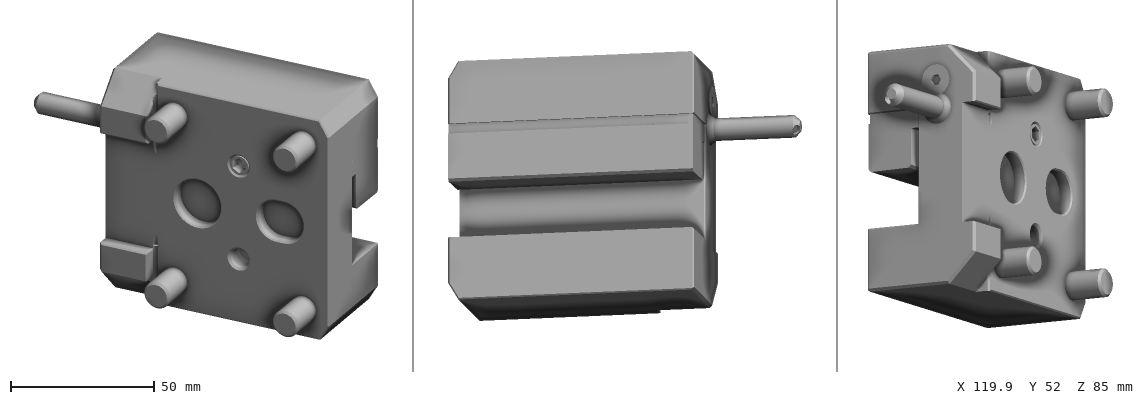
import cadquery as cq
import math


OVERALL_LENGTH = 119.9
BODY_LENGTH = 87.5
BODY_DEPTH = 38.0
BODY_HEIGHT = 85.0
HALF_HEIGHT = BODY_HEIGHT / 2
SLOT_HEIGHT = 40.5
PLATE_DEPTH = 17.9
CORNER_CUT_X = 3.6
CORNER_CUT_Z = 6.0
END_BEVEL = 1.0
EDGE_BREAK = 0.5

LUG_LENGTH = 19.1
LUG_RISE = 5.0
LUG_GAP = 42.5
LUG_SLOPE = 10.5
LUG_TIP_BEVEL = 0.7
SHOULDER_X = 19.4
RELIEF_X = 19.5
RELIEF_RADIUS = 1.0
RELIEF_END_Z = 20.1
RELIEF_RUNOUT = 4.2
RELIEF_DRIFT = 0.5

PIN_DIAMETER = 10.1
PIN_LENGTH = 14.0
PIN_TIP_BEVEL = 0.8
PIN_SPACING_X = 50.5
PIN_SPACING_Z = 63.8
PATTERN_X = 52.3
POCKET_SPACING = 32.4
POCKET_DIAMETER = 18.0
POCKET_HEIGHT = 15.3
POCKET_DEPTH = 4.8
RIM_ANGLE = 45
SCREW_MOUTH_DIAMETER = 8.9
SCREW_HOLE_SPACING = 36.0
SCREW_HOLE_DEPTH = 7.2
DRILL_POINT_ANGLE = 118
SET_SCREW_DIAMETER = 7.2
SET_SCREW_SINK = 0.2
SET_SCREW_HEX = 5.0
SET_SCREW_SOCKET_DEPTH = 3.6

ROD_Y = 10.1
ROD_Z = 20.0
ROD_RADIUS = 4.0
ROD_REACH = OVERALL_LENGTH - BODY_LENGTH
ROD_TIP_BEVEL = 2.0
COLLAR_RADIUS = 5.5
COLLAR_LENGTH = 2.2
TIP_HOLE_RADIUS = 1.7
TIP_HOLE_DEPTH = 1.8
TIP_HOLE_ANGLE = 38
HEAD_Z = 29.9
HEAD_RADIUS = 5.5
HEAD_RISE = 1.1
HEAD_HEX = 3.6
HEAD_SOCKET_DEPTH = 1.8

BAR_END_GAP = 0.4
BAR_BACK_GAP = 0.2
BAR_STEP_Z = 16.8
BAR_STEP = 0.5
BAR_LIP_Z = 13.9
BAR_FRONT_Y = 20.7
BAR_BEVEL = 1.0
BAR_SLANT = 0.2
SPACER_RADIUS = 3.0
SPACER_Z = 7.9

NEAR = 0.1

ALONG_X = cq.Vector(1, 0, 0)
ALONG_Y = cq.Vector(0, 1, 0)


def cylinder(radius, length, base, direction):
    return cq.Workplane(cq.Solid.makeCylinder(radius, length, cq.Vector(*base), direction))


def cone(base_radius, end_radius, length, base, direction):
    return cq.Workplane(cq.Solid.makeCone(base_radius, end_radius, length, cq.Vector(*base), direction))


def hex_prism(flats, length, base, direction, vertex_direction):
    plane = cq.Plane(origin=base, xDir=vertex_direction, normal=direction)
    return cq.Workplane(plane).polygon(6, flats / math.cos(math.pi / 6)).extrude(length)


def edge_box(x_range, y_range, z_range):
    """Selector for the edges whose midpoints lie within the three ranges."""
    low, high = zip(x_range, y_range, z_range)
    return cq.selectors.BoxSelector(low, high)


def at(value):
    """Narrow range around one coordinate."""
    return value - NEAR, value + NEAR


def upper_block():
    """Upper half of the body behind the shoulder, with its slot and cut corner."""
    block = (
        cq.Workplane("XZ")
        .moveTo(0, 0)
        .lineTo(BODY_LENGTH, 0)
        .lineTo(BODY_LENGTH, HALF_HEIGHT - CORNER_CUT_Z)
        .lineTo(BODY_LENGTH - CORNER_CUT_X, HALF_HEIGHT)
        .lineTo(0, HALF_HEIGHT)
        .close()
        .extrude(-BODY_DEPTH)
    )
    outer_edges = edge_box(
        (NEAR, BODY_LENGTH + NEAR), (-NEAR, BODY_DEPTH + NEAR), (NEAR, HALF_HEIGHT + NEAR)
    )
    block = block.faces("<Y or >Y").edges(outer_edges).chamfer(EDGE_BREAK)
    slot = cq.Workplane().box(BODY_LENGTH, BODY_DEPTH - PLATE_DEPTH, SLOT_HEIGHT / 2, centered=False)
    slot = slot.translate((0, PLATE_DEPTH, 0))
    end_zone = cq.Workplane().box(SHOULDER_X, BODY_DEPTH, HALF_HEIGHT, centered=False)
    return block.cut(slot).cut(end_zone)


def end_profile(length):
    """Upper half of the left end: back arm, plate and sloped lug, without bevels."""
    return (
        cq.Workplane("YZ")
        .moveTo(0, 0)
        .lineTo(PLATE_DEPTH, 0)
        .lineTo(PLATE_DEPTH, SLOT_HEIGHT / 2)
        .lineTo(BODY_DEPTH, SLOT_HEIGHT / 2)
        .lineTo(BODY_DEPTH, HALF_HEIGHT)
        .lineTo(LUG_SLOPE - LUG_RISE, HALF_HEIGHT)
        .lineTo(-LUG_RISE, HALF_HEIGHT - LUG_SLOPE)
        .lineTo(-LUG_RISE, LUG_GAP / 2)
        .lineTo(0, LUG_GAP / 2)
        .close()
        .extrude(length)
    )


def upper_end():
    """Upper half of the left end, with bevelled edges and the lug stopping short of the shoulder."""
    tip_gap = cq.Workplane().box(SHOULDER_X - LUG_LENGTH, LUG_RISE, HALF_HEIGHT, centered=False)
    end = end_profile(SHOULDER_X).cut(tip_gap.translate((LUG_LENGTH, -LUG_RISE, 0)))

    outline = edge_box(
        at(0), (-LUG_RISE - NEAR, BODY_DEPTH - NEAR), (LUG_GAP / 2 + NEAR, HALF_HEIGHT + NEAR)
    )
    end = end.edges(outline).chamfer(END_BEVEL)

    slot_outline = edge_box(at(0), (PLATE_DEPTH - NEAR, BODY_DEPTH + NEAR), (NEAR, HALF_HEIGHT - 2 * END_BEVEL))
    end = end.edges(slot_outline).chamfer(EDGE_BREAK)

    back_top = edge_box((NEAR, SHOULDER_X - NEAR), at(BODY_DEPTH), at(HALF_HEIGHT))
    end = end.edges(back_top).chamfer(EDGE_BREAK)

    lug_tip = edge_box(at(LUG_LENGTH), (-LUG_RISE - NEAR, -NEAR), (LUG_GAP / 2 + NEAR, HALF_HEIGHT))
    end = end.edges(lug_tip).chamfer(LUG_TIP_BEVEL)

    lug_inner = edge_box((NEAR, LUG_LENGTH - NEAR), at(-LUG_RISE), at(LUG_GAP / 2))
    return end.edges(lug_inner).chamfer(EDGE_BREAK)


def upper_relief():
    """Round groove in the corner beside the lug; its lower end slants forward out of the plate."""
    groove = cylinder(
        RELIEF_RADIUS, HALF_HEIGHT - RELIEF_END_Z, (RELIEF_X, 0, RELIEF_END_Z), cq.Vector(0, 0, 1)
    )
    rise_direction = cq.Vector(RELIEF_DRIFT, -RELIEF_RADIUS, -RELIEF_RUNOUT)
    runout = cylinder(RELIEF_RADIUS, 2 * RELIEF_RUNOUT, (RELIEF_X, 0, RELIEF_END_Z), rise_direction)
    return groove.union(runout)


def pins():
    """Four pins with bevelled tips, standing on the front of the plate."""
    pin = cylinder(PIN_DIAMETER / 2, PIN_LENGTH, (0, 0, 0), -ALONG_Y).faces("<Y").chamfer(PIN_TIP_BEVEL)
    group = cq.Workplane()
    for side in (-1, 1):
        for level in (-1, 1):
            place = (PATTERN_X + side * PIN_SPACING_X / 2, 0, level * PIN_SPACING_Z / 2)
            group = group.union(pin.translate(place))
    return group


def rim_bevel(pocket):
    """Outward bevel around the front edge of a pocket."""
    rim = pocket.faces("<Y").wires().toPending().workplane()
    return rim.offset2D(EDGE_BREAK).extrude(-EDGE_BREAK, taper=RIM_ANGLE)


def pockets():
    """Blind round pocket and blind oblong pocket, each with a bevelled front edge."""
    half_spacing = POCKET_SPACING / 2
    round_pocket = cylinder(POCKET_DIAMETER / 2, POCKET_DEPTH, (PATTERN_X - half_spacing, 0, 0), ALONG_Y)
    oblong_pocket = (
        cq.Workplane("XZ")
        .center(PATTERN_X + half_spacing, 0)
        .slot2D(POCKET_DIAMETER, POCKET_HEIGHT)
        .extrude(-POCKET_DEPTH)
    )
    return [pocket.union(rim_bevel(pocket)) for pocket in (round_pocket, oblong_pocket)]


def drilled_hole(z):
    """Blind drilled hole with a conical bottom and a 45 degree bevel at its mouth."""
    mouth_radius = SCREW_MOUTH_DIAMETER / 2
    drill_radius = SET_SCREW_DIAMETER / 2
    point_length = drill_radius / math.tan(math.radians(DRILL_POINT_ANGLE / 2))
    hole = cylinder(drill_radius, SCREW_HOLE_DEPTH, (PATTERN_X, 0, z), ALONG_Y)
    point = cone(drill_radius, 0, point_length, (PATTERN_X, SCREW_HOLE_DEPTH, z), ALONG_Y)
    mouth = cone(mouth_radius, drill_radius, mouth_radius - drill_radius, (PATTERN_X, 0, z), ALONG_Y)
    return hole.union(point).union(mouth)


def set_screw(z):
    """Set screw filling the drilled hole, sunk slightly, with a hexagon socket."""
    base = (PATTERN_X, SET_SCREW_SINK, z)
    screw = cylinder(SET_SCREW_DIAMETER / 2, SCREW_HOLE_DEPTH, base, ALONG_Y)
    socket = hex_prism(SET_SCREW_HEX, SET_SCREW_SOCKET_DEPTH, base, ALONG_Y, (0, 0, 1))
    point_radius = SET_SCREW_HEX / 2
    socket_floor = (PATTERN_X, SET_SCREW_SINK + SET_SCREW_SOCKET_DEPTH, z)
    point = cone(point_radius, 0, point_radius, socket_floor, ALONG_Y)
    return screw.cut(socket).cut(point)


def rod():
    """Rod with a bevelled tip, a conical collar at its foot and a small blind hole in the tip bevel."""
    shaft = cylinder(ROD_RADIUS, ROD_REACH, (0, ROD_Y, ROD_Z), -ALONG_X).faces("<X").chamfer(ROD_TIP_BEVEL)
    collar = cone(COLLAR_RADIUS, ROD_RADIUS, COLLAR_LENGTH, (0, ROD_Y, ROD_Z), -ALONG_X)
    bevel_middle = ROD_RADIUS - ROD_TIP_BEVEL / 2
    angle = math.radians(TIP_HOLE_ANGLE)
    outward = cq.Vector(-1, math.cos(angle), -math.sin(angle))
    mouth = cq.Vector(
        ROD_TIP_BEVEL / 2 - ROD_REACH,
        ROD_Y + bevel_middle * math.cos(angle),
        ROD_Z - bevel_middle * math.sin(angle),
    )
    bottom = mouth - outward.normalized() * TIP_HOLE_DEPTH
    tip_hole = cylinder(TIP_HOLE_RADIUS, 2 * TIP_HOLE_DEPTH, bottom.toTuple(), outward)
    return shaft.union(collar).cut(tip_hole)


def countersunk_head():
    """Head of a countersunk screw standing proud of the left end."""
    return cone(HEAD_RADIUS, HEAD_RADIUS - HEAD_RISE, HEAD_RISE, (-HEAD_RISE, ROD_Y, HEAD_Z), ALONG_X)


def clamp_bar():
    """Hooked bar under the upper arm of the slot, with a round spacer to the slot floor."""
    top = SLOT_HEIGHT / 2
    back = BODY_DEPTH - BAR_BACK_GAP
    bar = (
        cq.Workplane("YZ")
        .moveTo(PLATE_DEPTH, BAR_LIP_Z)
        .lineTo(PLATE_DEPTH, top - BAR_BEVEL)
        .lineTo(PLATE_DEPTH + BAR_BEVEL, top)
        .lineTo(back - BAR_STEP, top)
        .lineTo(back - BAR_STEP, BAR_STEP_Z)
        .lineTo(back, BAR_STEP_Z)
        .lineTo(back, BAR_BEVEL - BAR_SLANT)
        .lineTo(back - BAR_BEVEL, -BAR_SLANT)
        .lineTo(BAR_FRONT_Y + BAR_BEVEL, 0)
        .lineTo(BAR_FRONT_Y, BAR_BEVEL)
        .lineTo(BAR_FRONT_Y, BAR_LIP_Z)
        .close()
        .extrude(BODY_LENGTH - BAR_END_GAP)
        .translate((BAR_END_GAP, 0, 0))
    )
    spacer = cylinder(
        SPACER_RADIUS, BAR_FRONT_Y - PLATE_DEPTH, (BODY_LENGTH / 2, PLATE_DEPTH, SPACER_Z), ALONG_Y
    )
    return bar.union(spacer)


upper_half = upper_block().union(upper_end()).cut(upper_relief())
result = upper_half.union(upper_half.mirror("XY"))

for pocket in pockets():
    result = result.cut(pocket)
for hole_z in (-SCREW_HOLE_SPACING / 2, SCREW_HOLE_SPACING / 2):
    result = result.cut(drilled_hole(hole_z))

head_socket = hex_prism(HEAD_HEX, HEAD_SOCKET_DEPTH, (-HEAD_RISE, ROD_Y, HEAD_Z), ALONG_X, (0, 1, 0))
result = (
    result.union(set_screw(SCREW_HOLE_SPACING / 2))
    .union(pins())
    .union(countersunk_head())
    .cut(head_socket)
    .union(rod())
    .union(clamp_bar())
)